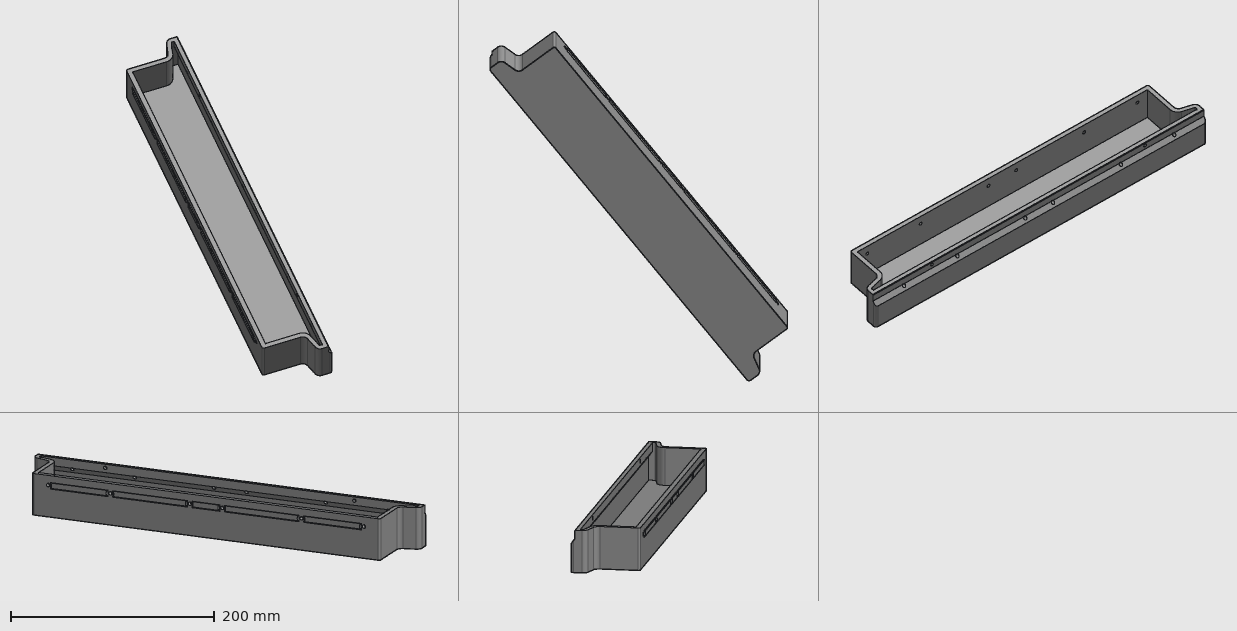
import cadquery as cq
import math

LENGTH = 416.0
HEIGHT = 43.0
DEPTH = 67.0

SIDE_X = 187.3
WING_TIP_Y = 18.0
WING_SLOPE = math.radians(15)
WING_RADIUS = 6.0
FRONT_CORNER_RADIUS = 2.0
BACK_CORNER_RADIUS = 3.0
BOTTOM_CHAMFER = 0.5

WALL = 5.0
WING_WALL = 4.5
CAVITY_TIP_RADIUS = 1.0
CAVITY_ROOT_RADIUS = 9.5

STEP_DEPTH = 3.95
STEP_BOTTOM = 28.7
STEP_SLOPE = math.radians(55)
RIM_CHAMFER = 0.62

BEAD_DEPTH = 1.2
BEAD_BOTTOM = 29.0
BEAD_TOP = 36.0
BEAD_GAP = 5.5
RELIEF_DIAMETER = 6.0

WIRE_HOLE_DIAMETER = 3.4
WIRE_HOLE_Z = 33.0
WIRE_HOLE_OFFSETS = (17.5, 103.0, 170.0)

FIXING_HOLE_DIAMETER = 3.3
FIXING_HOLE_Z = 39.0
FIXING_HOLE_OFFSET = 134.0

TIP_X = LENGTH / 2
BACK_Y = DEPTH / 2
BEAD_Y = -DEPTH / 2
FRONT_Y = BEAD_Y + BEAD_DEPTH
RIM_Y = BACK_Y - STEP_DEPTH
STEP_TOP = STEP_BOTTOM + STEP_DEPTH * math.tan(STEP_SLOPE)
WIRE_HOLE_X = sorted(side * offset for side in (-1, 1) for offset in WIRE_HOLE_OFFSETS)

PICK_MARGIN = 0.2


def fillet_uprights(prism, x, y, radius):
    """Round the two vertical edges at (-x, y) and (x, y)."""
    for edge_x in (-x, x):
        low = (edge_x - PICK_MARGIN, y - PICK_MARGIN, 0)
        high = (edge_x + PICK_MARGIN, y + PICK_MARGIN, HEIGHT)
        prism = prism.edges(cq.selectors.BoxSelector(low, high)).fillet(radius)
    return prism


def winged_prism(tip, side_x, front_y, back_y, tip_radius, root_radius, bottom):
    """Prism from bottom to the rim over the winged plan shape, with rounded wing tips and roots."""
    tip_x, tip_y = tip
    root_y = tip_y - (tip_x - side_x) * math.tan(WING_SLOPE)
    right = [(side_x, front_y), (side_x, root_y), (tip_x, tip_y), (tip_x, back_y)]
    left = [(-x, y) for x, y in reversed(right)]
    plan = cq.Workplane("XY", origin=(0, 0, bottom)).polyline(right + left).close()
    prism = plan.extrude(HEIGHT - bottom)
    prism = fillet_uprights(prism, tip_x, tip_y, tip_radius)
    return fillet_uprights(prism, side_x, root_y, root_radius)


def full_length_bar(profile):
    """Bar along the whole tray with the given (Y, Z) profile."""
    return cq.Workplane("YZ").polyline(profile).close().extrude(TIP_X, both=True)


def space_behind_step(offset):
    """Space behind the stepped back face, when that face is moved forward by offset."""
    back_y = BACK_Y - offset
    rim_y = RIM_Y - offset
    return full_length_bar([(back_y, STEP_BOTTOM), (rim_y, STEP_TOP), (rim_y, HEIGHT), (back_y, HEIGHT)])


def make_outside():
    tip = (TIP_X, WING_TIP_Y)
    outside = winged_prism(tip, SIDE_X, FRONT_Y, BACK_Y, WING_RADIUS, WING_RADIUS, 0)
    outside = fillet_uprights(outside, SIDE_X, FRONT_Y, FRONT_CORNER_RADIUS)
    outside = fillet_uprights(outside, TIP_X, BACK_Y, BACK_CORNER_RADIUS)
    outside = outside.faces("<Z").edges().chamfer(BOTTOM_CHAMFER)
    rim_corner = [(RIM_Y - RIM_CHAMFER, HEIGHT), (RIM_Y, HEIGHT - RIM_CHAMFER), (RIM_Y, HEIGHT)]
    return outside.cut(space_behind_step(0)).cut(full_length_bar(rim_corner))


def make_cavity():
    tip_x = TIP_X - WING_WALL
    tip_y = WING_TIP_Y + WING_WALL * (1 / math.cos(WING_SLOPE) - math.tan(WING_SLOPE))
    cavity = winged_prism(
        (tip_x, tip_y),
        SIDE_X - WALL,
        FRONT_Y + WALL,
        BACK_Y - WALL,
        CAVITY_TIP_RADIUS,
        CAVITY_ROOT_RADIUS,
        WALL,
    )
    return cavity.cut(space_behind_step(WALL))


def make_bead(start_x, end_x):
    """Flat-topped bead on the front face, with a 45 degree underside."""
    profile = [
        (FRONT_Y, BEAD_BOTTOM),
        (BEAD_Y, BEAD_BOTTOM + BEAD_DEPTH),
        (BEAD_Y, BEAD_TOP),
        (FRONT_Y, BEAD_TOP),
    ]
    return cq.Workplane("YZ", origin=(start_x, 0, 0)).polyline(profile).close().extrude(end_x - start_x)


def make_relief(x):
    """Cone around a wire hole that hollows the ends of the beads beside it."""
    radius = RELIEF_DIAMETER / 2
    base = cq.Vector(x, FRONT_Y, WIRE_HOLE_Z)
    forward = cq.Vector(0, -1, 0)
    return cq.Workplane(cq.Solid.makeCone(radius, radius + BEAD_DEPTH, BEAD_DEPTH, base, forward))


def make_drill(x, z, diameter, start_y):
    """Cylinder along Y, from start_y to the back face."""
    start = cq.Vector(x, start_y, z)
    return cq.Workplane(cq.Solid.makeCylinder(diameter / 2, BACK_Y - start_y, start, cq.Vector(0, 1, 0)))


def make_tray():
    tray = make_outside().cut(make_cavity())
    for left_x, right_x in zip(WIRE_HOLE_X, WIRE_HOLE_X[1:]):
        tray = tray.union(make_bead(left_x + BEAD_GAP / 2, right_x - BEAD_GAP / 2))
    for x in WIRE_HOLE_X:
        tray = tray.cut(make_relief(x))
        tray = tray.cut(make_drill(x, WIRE_HOLE_Z, WIRE_HOLE_DIAMETER, BEAD_Y))
    for x in (-FIXING_HOLE_OFFSET, FIXING_HOLE_OFFSET):
        tray = tray.cut(make_drill(x, FIXING_HOLE_Z, FIXING_HOLE_DIAMETER, 0))
    return tray


tray = make_tray()
result = cq.Compound.makeCompound([tray.val()])